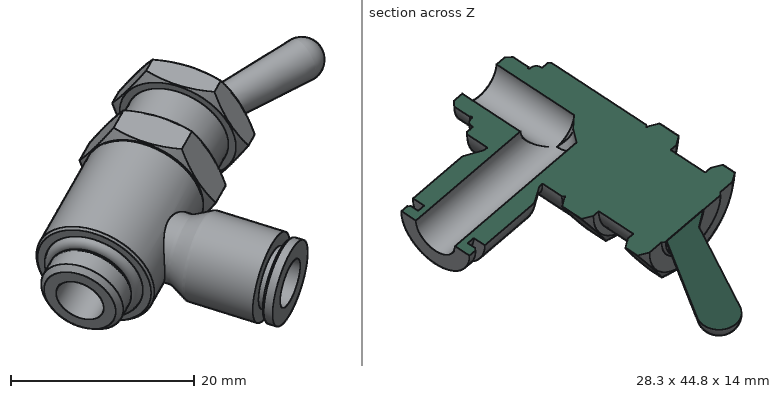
import cadquery as cq
import math


overall_length = 44.75
clearance = 0.45

across_flats = 14.0
across_corners = across_flats / math.cos(math.radians(30))
hex_face_radius = 6.9
hex_chamfer_angle = 30.0

thread_top = 2.9
barrel_bottom = 4.05
collar_hex_bottom = 18.4
collar_hex_top = 22.6
nut_bottom = 27.55
nut_top = 30.75
bush_top = 31.05

port_thread_radius = 4.88
port_thread_chamfer = 0.63
undercut_radius = 4.75
barrel_radius = across_flats / 2
barrel_chamfer = 0.25
bush_radius = 6.0
bush_lip_radius = 4.88
bush_lip_chamfer = bush_top - nut_top

seal_section_radius = 0.8
seal_outer_radius = 5.75
seal_level = 3.95

arm_level = 11.25
arm_neck_radius = 4.03
arm_radius = 5.25
arm_cone_start = 7.45
arm_cone_end = 9.7
arm_cone_blend = 0.8
arm_end = 17.95
release_neck_radius = 3.62
release_flange_radius = 4.95
release_flange_start = 18.88
release_flange_chamfer = 0.25
release_flange_end = 20.17

bore_radius = 2.8
bore_tip_depth = 2.25

lever_tilt = 30.0
lever_tip_x = 8.5
lever_tip_radius = 2.5
lever_tip_y = overall_length - lever_tip_radius
lever_length = 12.6
lever_root_radius = 2.0
boss_length = 4.47
boss_half_angle = 30.0


def turned(points, axis_point, axis_direction):
    """Full revolution of a closed outline lying in the XY plane."""
    axis_end = (axis_point[0] + axis_direction[0], axis_point[1] + axis_direction[1])
    return cq.Workplane("XY").polyline(points).close().revolve(360, axis_point, axis_end)


def chamfered_hex(bottom, top):
    """Hexagon around the Y axis, corners facing X, both ends chamfered by a cone."""
    height = top - bottom
    prism = (
        cq.Workplane("XZ", origin=(0, top, 0))
        .polygon(6, across_corners)
        .extrude(height)
    )
    corner_radius = across_corners / 2 + clearance
    drop = (corner_radius - hex_face_radius) * math.tan(math.radians(hex_chamfer_angle))
    envelope = turned(
        [
            (0, bottom),
            (hex_face_radius, bottom),
            (corner_radius, bottom + drop),
            (corner_radius, top - drop),
            (hex_face_radius, top),
            (0, top),
        ],
        (0, 0),
        (0, 1),
    )
    return prism.intersect(envelope)


def turned_body():
    """Port thread, undercut, barrel, bush and bush lip as one turned profile."""
    return turned(
        [
            (0, 0),
            (port_thread_radius - port_thread_chamfer, 0),
            (port_thread_radius, port_thread_chamfer),
            (port_thread_radius, thread_top),
            (undercut_radius, thread_top),
            (undercut_radius, barrel_bottom),
            (barrel_radius - barrel_chamfer, barrel_bottom),
            (barrel_radius, barrel_bottom + barrel_chamfer),
            (barrel_radius, collar_hex_bottom - barrel_chamfer),
            (barrel_radius - barrel_chamfer, collar_hex_bottom),
            (bush_radius, collar_hex_bottom),
            (bush_radius, nut_top),
            (bush_lip_radius, nut_top),
            (bush_lip_radius - bush_lip_chamfer, bush_top),
            (0, bush_top),
        ],
        (0, 0),
        (0, 1),
    )


def sealing_ring():
    centre_radius = seal_outer_radius - seal_section_radius
    return (
        cq.Workplane("XY")
        .center(centre_radius, seal_level)
        .circle(seal_section_radius)
        .revolve(360, (-centre_radius, 0), (-centre_radius, 1))
    )


def push_in_arm():
    """Necked arm with a blended cone, ending in the flanged release ring."""
    sleeve = turned(
        [
            (0, arm_level),
            (0, arm_level + arm_neck_radius),
            (arm_cone_start, arm_level + arm_neck_radius),
            (arm_cone_end, arm_level + arm_radius),
            (arm_end, arm_level + arm_radius),
            (arm_end, arm_level),
        ],
        (0, arm_level),
        (1, 0),
    )
    blend_zone = cq.selectors.BoxSelector(
        (arm_cone_start - clearance, arm_level - 2 * arm_radius, -2 * arm_radius),
        (arm_cone_end + clearance, arm_level + 2 * arm_radius, 2 * arm_radius),
    )
    sleeve = sleeve.edges("%CIRCLE").edges(blend_zone).fillet(arm_cone_blend)
    release_ring = turned(
        [
            (arm_end, arm_level),
            (arm_end, arm_level + release_neck_radius),
            (release_flange_start, arm_level + release_neck_radius),
            (release_flange_start, arm_level + release_flange_radius - release_flange_chamfer),
            (release_flange_start + release_flange_chamfer, arm_level + release_flange_radius),
            (release_flange_end, arm_level + release_flange_radius),
            (release_flange_end, arm_level),
        ],
        (0, arm_level),
        (1, 0),
    )
    return sleeve.union(release_ring)


def flow_bores():
    """Port bore along Y and arm bore along X, both with a drill point where they meet."""
    port_bore = turned(
        [(0, 0), (bore_radius, 0), (bore_radius, arm_level), (0, arm_level + bore_tip_depth)],
        (0, 0),
        (0, 1),
    )
    arm_bore = turned(
        [
            (-bore_tip_depth, arm_level),
            (0, arm_level + bore_radius),
            (release_flange_end, arm_level + bore_radius),
            (release_flange_end, arm_level),
        ],
        (0, arm_level),
        (1, 0),
    )
    return port_bore.union(arm_bore)


def make_housing():
    return (
        turned_body()
        .union(sealing_ring())
        .union(chamfered_hex(collar_hex_bottom, collar_hex_top))
        .union(chamfered_hex(nut_bottom, nut_top))
        .union(push_in_arm())
        .cut(flow_bores())
    )


def make_lever():
    """Tapered lever with a ball end and a conical boss, standing on the bush face."""
    taper = math.asin((lever_tip_radius - lever_root_radius) / lever_length)
    tangent_radius = lever_tip_radius * math.cos(taper)
    tangent_height = lever_tip_radius * math.sin(taper)
    boss_radius = lever_root_radius + boss_length * math.tan(math.radians(boss_half_angle))
    upright = (
        cq.Workplane("XY")
        .moveTo(0, lever_tip_radius)
        .lineTo(0, -lever_length - boss_length)
        .lineTo(boss_radius, -lever_length - boss_length)
        .lineTo(lever_root_radius, -lever_length)
        .lineTo(tangent_radius, tangent_height)
        .radiusArc((0, lever_tip_radius), -lever_tip_radius)
        .close()
        .revolve(360, (0, 0), (0, 1))
    )
    tilted = upright.rotate((0, 0, 0), (0, 0, 1), -lever_tilt).translate((lever_tip_x, lever_tip_y, 0))
    above_bush = cq.Workplane("XY").box(overall_length, overall_length, overall_length)
    above_bush = above_bush.translate((0, bush_top + overall_length / 2, 0))
    return tilted.intersect(above_bush)


housing = make_housing()
lever = make_lever()

result = cq.Compound.makeCompound([housing.val(), lever.val()])